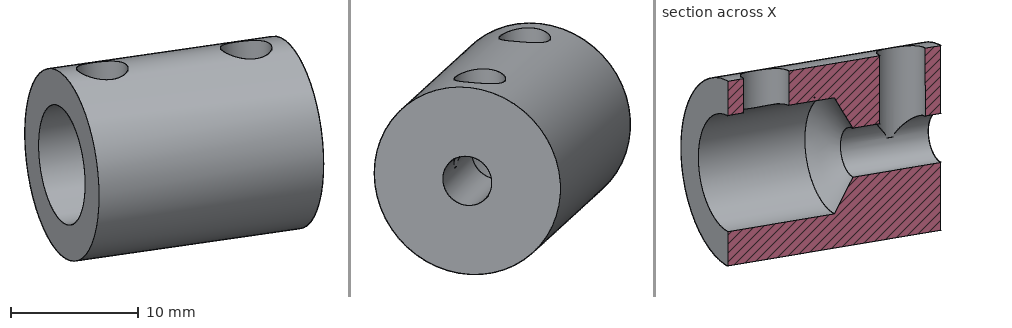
import cadquery as cq
import math

length = 19.05
outer_diameter = 15.24
front_end = -length / 2

wide_bore_diameter = 9.52
narrow_bore_diameter = 4
wide_bore_depth = 9.52
drill_point_angle = 118

screw_hole_diameter = 4.04
screw_hole_inset = 3.43


def sleeve():
    return cq.Workplane("XZ", origin=(0, length / 2, 0)).circle(outer_diameter / 2).extrude(length)


def stepped_bore():
    wide_radius = wide_bore_diameter / 2
    narrow_radius = narrow_bore_diameter / 2
    cone_length = (wide_radius - narrow_radius) / math.tan(math.radians(drill_point_angle / 2))
    cone_start = front_end + wide_bore_depth
    return (
        cq.Workplane("XY")
        .moveTo(0, front_end)
        .lineTo(wide_radius, front_end)
        .lineTo(wide_radius, cone_start)
        .lineTo(narrow_radius, cone_start + cone_length)
        .lineTo(narrow_radius, length / 2)
        .lineTo(0, length / 2)
        .close()
        .revolve(360, (0, 0, 0), (0, 1, 0))
    )


def screw_holes():
    hole_offset = length / 2 - screw_hole_inset
    return (
        cq.Workplane("XY")
        .pushPoints([(0, -hole_offset), (0, hole_offset)])
        .circle(screw_hole_diameter / 2)
        .extrude(outer_diameter / 2)
    )


result = sleeve().cut(stepped_bore()).cut(screw_holes())